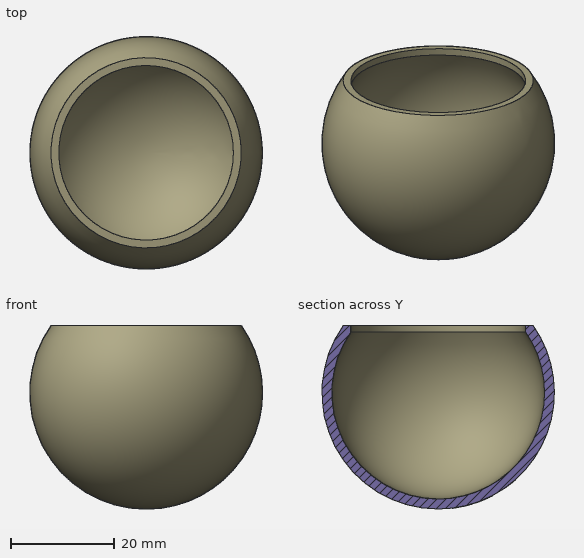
import cadquery as cq
import math

outer_radius = 22.5
wall_thickness = 2.0
overall_height = 35.5
mouth_diameter = 33.7

inner_radius = outer_radius - wall_thickness
rim_height = overall_height - outer_radius
mouth_radius = mouth_diameter / 2
rim_outer_radius = math.sqrt(outer_radius**2 - rim_height**2)
bore_bottom_height = math.sqrt(inner_radius**2 - mouth_radius**2)


def make_bowl():
    """Revolve the wall section: two concentric arcs, the flat rim and the mouth bore."""
    outer_equator = (outer_radius, 0)
    inner_equator = (inner_radius, 0)
    section = (
        cq.Workplane("XZ")
        .moveTo(0, -outer_radius)
        .threePointArc(outer_equator, (rim_outer_radius, rim_height))
        .lineTo(mouth_radius, rim_height)
        .lineTo(mouth_radius, bore_bottom_height)
        .threePointArc(inner_equator, (0, -inner_radius))
        .close()
    )
    return section.revolve(360, (0, 0, 0), (0, 1, 0))


result = make_bowl()